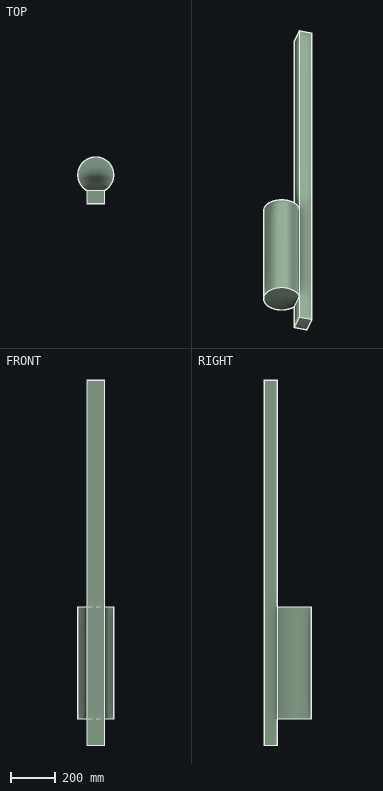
import cadquery as cq

post_width = 80.0
post_depth = 60.0
post_height = 1660.0

cylinder_diameter = 164.57
cylinder_height = 510.0
cylinder_base_height = 120.0

overall_depth = 214.07

cylinder_radius = cylinder_diameter / 2
cylinder_centre_y = overall_depth - cylinder_radius


def make_post():
    """Square-edged post standing on its base."""
    return (
        cq.Workplane("XY", origin=(0, post_depth / 2, 0))
        .rect(post_width, post_depth)
        .extrude(post_height)
    )


def make_cylinder():
    """Solid cylinder whose front side is buried in the post."""
    return (
        cq.Workplane("XY", origin=(0, cylinder_centre_y, cylinder_base_height))
        .circle(cylinder_radius)
        .extrude(cylinder_height)
    )


result = make_post().union(make_cylinder())